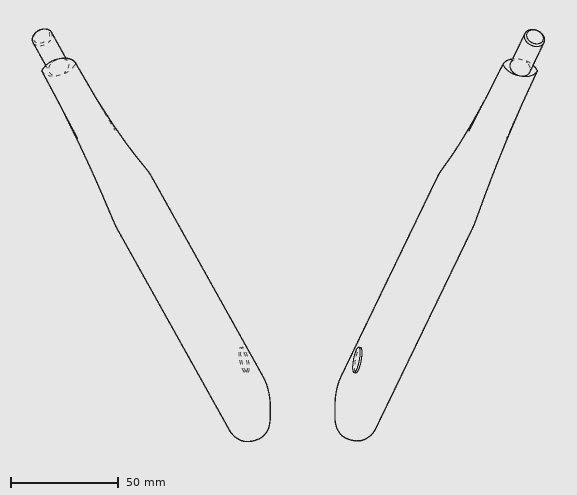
import cadquery as cq
import math

length = 299.0
handle_height = 37.0
body_thickness = 18.2
edge_rounding = 8.5
end_corner_radius = 14.3

shank_length = 24.0
shank_diameter = 10.0
shank_chamfer = 1.0

neck_radius = 388.5
shoulder_radius = 15.0

button_diameter = 12.0
button_height = 1.0
button_x = 254.0

handle_half_height = handle_height / 2
neck_half_height = shank_diameter / 2
overlap = 3.0


def point_on_circle(center, radius, angle):
    """Point on an XZ circle at an angle from +Z towards +X."""
    return (center[0] + radius * math.sin(angle), center[1] + radius * math.cos(angle))


def make_body_half():
    """Plate with the upper outline and rounded edges, reaching well below Z = 0."""
    center_distance = neck_radius + shoulder_radius
    rise = handle_half_height - neck_half_height
    turn = math.acos(1 - rise / center_distance)
    neck_center = (shank_length, neck_half_height + neck_radius)
    shoulder_center = (
        shank_length + center_distance * math.sin(turn),
        handle_half_height - shoulder_radius,
    )
    corner_center = (length - end_corner_radius, handle_half_height - end_corner_radius)

    bottom = -handle_height
    outline = (
        cq.Workplane("XZ")
        .moveTo(shank_length, bottom)
        .lineTo(shank_length, neck_half_height)
        .threePointArc(
            point_on_circle(neck_center, neck_radius, math.pi - turn / 2),
            point_on_circle(neck_center, neck_radius, math.pi - turn),
        )
        .threePointArc(
            point_on_circle(shoulder_center, shoulder_radius, -turn / 2),
            (shoulder_center[0], handle_half_height),
        )
        .lineTo(corner_center[0], handle_half_height)
        .threePointArc(
            point_on_circle(corner_center, end_corner_radius, math.pi / 4),
            (length, corner_center[1]),
        )
        .lineTo(length, bottom)
        .close()
    )
    plate = outline.extrude(body_thickness / 2, both=True)
    return plate.faces(">X").edges("|Z").fillet(edge_rounding)


def make_body():
    """Common part of the upper and lower plates; their roundings meet along the neck."""
    upper = make_body_half()
    lower = upper.mirror("XY")
    return upper.intersect(lower)


def make_shank():
    return (
        cq.Workplane("YZ")
        .circle(shank_diameter / 2)
        .extrude(shank_length + overlap)
        .faces("<X")
        .chamfer(shank_chamfer)
    )


def make_button():
    return (
        cq.Workplane("XZ", origin=(button_x, body_thickness / 2 + button_height, 0))
        .circle(button_diameter / 2)
        .extrude(button_height + overlap)
    )


result = make_body().union(make_shank()).union(make_button())